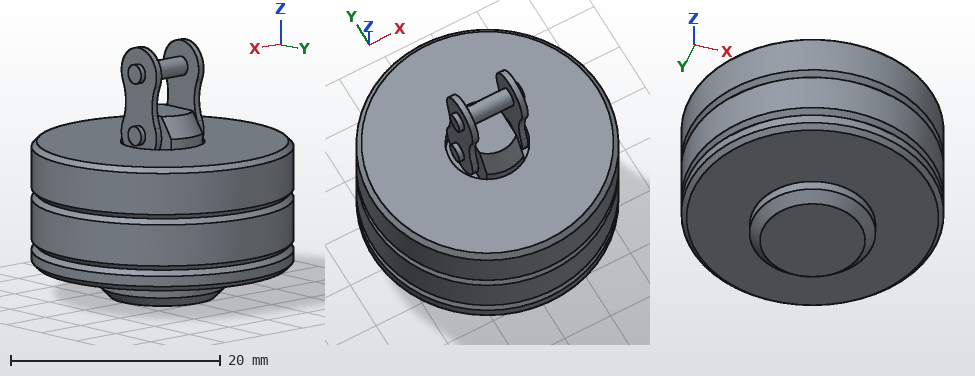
import cadquery as cq
import math

body_radius = 12.5
edge_chamfer = 0.5
root_radius = body_radius - edge_chamfer
body_bottom = 3.0
body_top = 15.0
groove_heights = [5.0, 10.0]

stem_radius = 4.0
foot_radius = 6.0
foot_top = 2.0
foot_chamfer = 1.0
neck_fillet = 0.5

recess_floor = 13.0
tongue_thickness = 4.0
tongue_shoulder = 16.0
tongue_top = 18.0
tongue_top_radius = 2.85

pin_radius = 0.92
pin_length = 7.15
lower_pin_height = 16.0
pin_spacing = 6.0
upper_pin_height = lower_pin_height + pin_spacing
plate_inner_x = 2.38
plate_thickness = 0.65
plate_end_radius = 2.5
waist_radius = 5.0


def make_foot():
    """Foot disc with a filleted neck that meets the underside of the cylinder."""
    mid_fillet = neck_fillet * (1 - math.sqrt(0.5))
    return (
        cq.Workplane("XZ")
        .moveTo(0, 0)
        .lineTo(foot_radius - foot_chamfer, 0)
        .lineTo(foot_radius, foot_chamfer)
        .lineTo(foot_radius, foot_top)
        .lineTo(stem_radius + neck_fillet, foot_top)
        .threePointArc(
            (stem_radius + mid_fillet, foot_top + mid_fillet),
            (stem_radius, foot_top + neck_fillet),
        )
        .lineTo(stem_radius, body_bottom)
        .lineTo(0, body_bottom)
        .close()
        .revolve(360, (0, 0, 0), (0, 1, 0))
    )


def make_cylinder():
    """Cylinder with chamfered rims, V grooves and the round recess in its top."""
    profile = cq.Workplane("XZ").moveTo(0, body_bottom).lineTo(root_radius, body_bottom)
    profile = profile.lineTo(body_radius, body_bottom + edge_chamfer)
    for height in groove_heights:
        profile = (
            profile.lineTo(body_radius, height - edge_chamfer)
            .lineTo(root_radius, height)
            .lineTo(body_radius, height + edge_chamfer)
        )
    cylinder = (
        profile.lineTo(body_radius, body_top - edge_chamfer)
        .lineTo(root_radius, body_top)
        .lineTo(0, body_top)
        .close()
        .revolve(360, (0, 0, 0), (0, 1, 0))
    )
    recess = (
        cq.Workplane("XY", origin=(0, 0, recess_floor))
        .circle(stem_radius)
        .extrude(body_top - recess_floor)
    )
    return cylinder.cut(recess)


def make_tongue():
    """Stem with a conical top, cut to two flat sides."""
    stem = (
        cq.Workplane("XZ")
        .moveTo(0, recess_floor)
        .lineTo(stem_radius, recess_floor)
        .lineTo(stem_radius, tongue_shoulder)
        .lineTo(tongue_top_radius, tongue_top)
        .lineTo(0, tongue_top)
        .close()
        .revolve(360, (0, 0, 0), (0, 1, 0))
    )
    flat_slab = (
        cq.Workplane("XY", origin=(0, 0, recess_floor))
        .rect(tongue_thickness, 2 * stem_radius)
        .extrude(tongue_top - recess_floor)
    )
    return stem.intersect(flat_slab)


def make_pin(height):
    """Pin along X, centred between the plates."""
    return (
        cq.Workplane("YZ", origin=(-pin_length / 2, 0, height))
        .circle(pin_radius)
        .extrude(pin_length)
    )


def make_plate(start_x):
    """Waisted plate whose end arcs run tangent into the concave side arcs."""
    mid_height = (lower_pin_height + upper_pin_height) / 2
    center_distance = plate_end_radius + waist_radius
    waist_center_y = math.sqrt(center_distance**2 - (pin_spacing / 2) ** 2)
    waist_y = waist_center_y - waist_radius
    end_fraction = plate_end_radius / center_distance
    tangent_y = waist_center_y * end_fraction
    tangent_rise = pin_spacing / 2 * end_fraction
    upper_tangent = upper_pin_height - tangent_rise
    lower_tangent = lower_pin_height + tangent_rise
    return (
        cq.Workplane("YZ", origin=(start_x, 0, 0))
        .moveTo(tangent_y, lower_tangent)
        .threePointArc((waist_y, mid_height), (tangent_y, upper_tangent))
        .threePointArc((0, upper_pin_height + plate_end_radius), (-tangent_y, upper_tangent))
        .threePointArc((-waist_y, mid_height), (-tangent_y, lower_tangent))
        .threePointArc((0, lower_pin_height - plate_end_radius), (tangent_y, lower_tangent))
        .close()
        .extrude(plate_thickness)
    )


def make_plug():
    """Foot, cylinder and tongue in one piece, with the cross hole for the lower pin."""
    plug = make_cylinder().union(make_foot()).union(make_tongue())
    return plug.cut(make_pin(lower_pin_height))


def make_link():
    """Two plates joined by the two pins."""
    link = make_pin(lower_pin_height).union(make_pin(upper_pin_height))
    for start_x in (plate_inner_x, -plate_inner_x - plate_thickness):
        link = link.union(make_plate(start_x))
    return link


plug = make_plug()
link = make_link()

result = cq.Compound.makeCompound([plug.solids().val(), link.solids().val()])